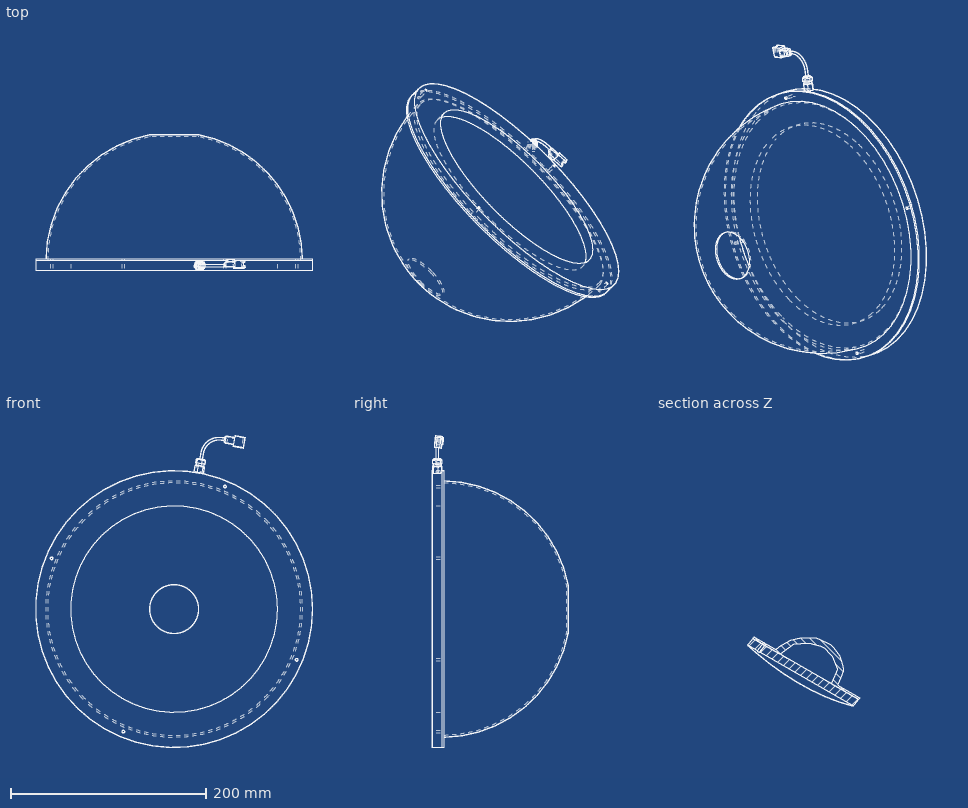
import cadquery as cq
import math

housing_radius = 142.0
housing_depth = 10.2
aperture_radius = 105.8

overall_depth = 139.5
sheet_thickness = 2.0
camera_hole_radius = 25.0
dome_radius = math.hypot(overall_depth - housing_depth, camera_hole_radius)

hole_circle_radius = 136.0
hole_radius = 1.3
hole_count = 4
first_hole_angle = 67.5

gland_tilt = 10.2
gland_y = housing_depth / 2
gland_base_end = 149.3
gland_neck_end = 151.5
gland_nut_end = 156.5
gland_hex_radius = 5.0
hex_sides = 6
gland_base_turn = 11
gland_nut_turn = 45
gland_neck_radius = 4.0
gland_sleeve_radius = 2.5
gland_base_chamfer = 1.0
gland_nut_chamfer = 1.5

cable_radius = 1.45
cable_bend_radius = 17.5
cable_end_distance = 180.3

grip_start = 19.8
grip_end = 30.0
shell_end = 40.5
plug_y = 6.5
plug_roll = -6
grip_width = 4.8
grip_height = 7.0
grip_chamfer = 1.3
shell_width = 7.5
shell_height = 10.5
slot_width = 3.8
slot_depth = 2.0
latch_start = 23.0
latch_thickness = 2.5
latch_height = 6.0

half_bend = math.radians(45)

tilt = math.radians(gland_tilt)
radial = cq.Vector(math.sin(tilt), 0, math.cos(tilt))
across = cq.Vector(math.cos(tilt), 0, -math.sin(tilt))


def make_mounting_holes():
    return (
        cq.Workplane("XZ")
        .polarArray(hole_circle_radius, first_hole_angle, 360, hole_count)
        .circle(hole_radius)
        .extrude(-overall_depth)
    )


def make_housing():
    ring = cq.Workplane("XZ").circle(housing_radius).circle(aperture_radius).extrude(-housing_depth)
    return ring.cut(make_mounting_holes())


def arc_height(radius, distance):
    """Y of a sphere centred on the back face of the housing, at a distance from the Y axis."""
    return housing_depth + math.sqrt(radius**2 - distance**2)


def make_dome():
    inner_radius = dome_radius - sheet_thickness
    rim_back = housing_depth + sheet_thickness
    rim_root = math.sqrt(dome_radius**2 - sheet_thickness**2)
    middle = dome_radius * math.sin(half_bend)
    inner_middle = inner_radius * math.sin(half_bend)
    shell = (
        cq.Workplane("XY")
        .moveTo(inner_radius, housing_depth)
        .lineTo(housing_radius, housing_depth)
        .lineTo(housing_radius, rim_back)
        .lineTo(rim_root, rim_back)
        .threePointArc((middle, arc_height(dome_radius, middle)), (camera_hole_radius, overall_depth))
        .lineTo(camera_hole_radius, arc_height(inner_radius, camera_hole_radius))
        .threePointArc((inner_middle, arc_height(inner_radius, inner_middle)), (inner_radius, housing_depth))
        .close()
        .revolve(360, (0, 0, 0), (0, 1, 0))
    )
    return shell.cut(make_mounting_holes())


def gland_plane(distance):
    """Workplane square to the gland axis at a distance from the Y axis."""
    return cq.Workplane(cq.Plane(radial * distance + cq.Vector(0, gland_y, 0), across, radial))


def make_gland_hex(start, end, turn, chamfer, bore_radius):
    """Hexagonal gland part, turned about the gland axis, bored, with its outer end chamfered round."""
    length = end - start
    blank = gland_plane(start).circle(gland_hex_radius).circle(bore_radius).extrude(length)
    chamfered = blank.faces(">Z").edges(cq.selectors.RadiusNthSelector(1)).chamfer(chamfer)
    prism = gland_plane(start).transformed(rotate=(0, 0, turn)).polygon(hex_sides, 2 * gland_hex_radius)
    return chamfered.intersect(prism.extrude(length))


def make_gland_base():
    start = housing_radius - gland_hex_radius
    base = make_gland_hex(start, gland_base_end, gland_base_turn, gland_base_chamfer, cable_radius)
    housing_edge = cq.Workplane("XZ").circle(housing_radius).extrude(-housing_depth)
    return base.cut(housing_edge)


def make_gland_neck():
    """Collar between base and nut, with a sleeve that runs through the nut around the cable."""
    collar = gland_plane(gland_base_end).circle(gland_neck_radius).extrude(gland_neck_end - gland_base_end)
    sleeve = gland_plane(gland_base_end).circle(gland_sleeve_radius).extrude(gland_nut_end - gland_base_end)
    bore = gland_plane(gland_base_end).circle(cable_radius).extrude(gland_nut_end - gland_base_end)
    return collar.union(sleeve).cut(bore)


def make_gland_nut():
    return make_gland_hex(
        gland_neck_end, gland_nut_end, gland_nut_turn, gland_nut_chamfer, gland_sleeve_radius
    )


def make_cable():
    bend_start = cable_end_distance - cable_bend_radius
    bend_chord = cable_bend_radius * math.sin(half_bend)
    path_plane = cq.Plane(cq.Vector(0, gland_y, 0), across, across.cross(radial))
    path = (
        cq.Workplane(path_plane)
        .moveTo(0, housing_radius)
        .lineTo(0, bend_start)
        .threePointArc(
            (cable_bend_radius - bend_chord, bend_start + bend_chord),
            (cable_bend_radius, cable_end_distance),
        )
        .lineTo(grip_start, cable_end_distance)
    )
    return gland_plane(housing_radius).circle(cable_radius).sweep(path)


def plug_block(start, end, width, height, side_shift=0):
    """Block along the plug axis, rolled about it, and shifted sideways by side_shift towards +Y."""
    origin = across * start + radial * cable_end_distance + cq.Vector(0, plug_y, 0)
    rolled = cq.Workplane(cq.Plane(origin, radial, across)).transformed(rotate=(0, 0, plug_roll))
    return rolled.center(0, -side_shift).rect(height, width).extrude(end - start)


def make_grip():
    block = plug_block(grip_start, grip_end, grip_width, grip_height).faces("<X").chamfer(grip_chamfer)
    latch_shift = (grip_width + latch_thickness) / 2
    latch = plug_block(latch_start, grip_end, latch_thickness, latch_height, latch_shift)
    return block.union(latch)


def make_shell():
    """Shell with a slot across its open end, between the two side walls."""
    block = plug_block(grip_end, shell_end, shell_width, shell_height)
    return block.cut(plug_block(shell_end - slot_depth, shell_end, slot_width, shell_height))


housing = make_housing()
dome = make_dome()
gland_base = make_gland_base()
gland_neck = make_gland_neck()
gland_nut = make_gland_nut()
cable = make_cable()
grip = make_grip()
shell = make_shell()

result = cq.Compound.makeCompound(
    [
        housing.val(),
        dome.val(),
        gland_base.val(),
        gland_neck.val(),
        gland_nut.val(),
        cable.val(),
        grip.val(),
        shell.val(),
    ]
)